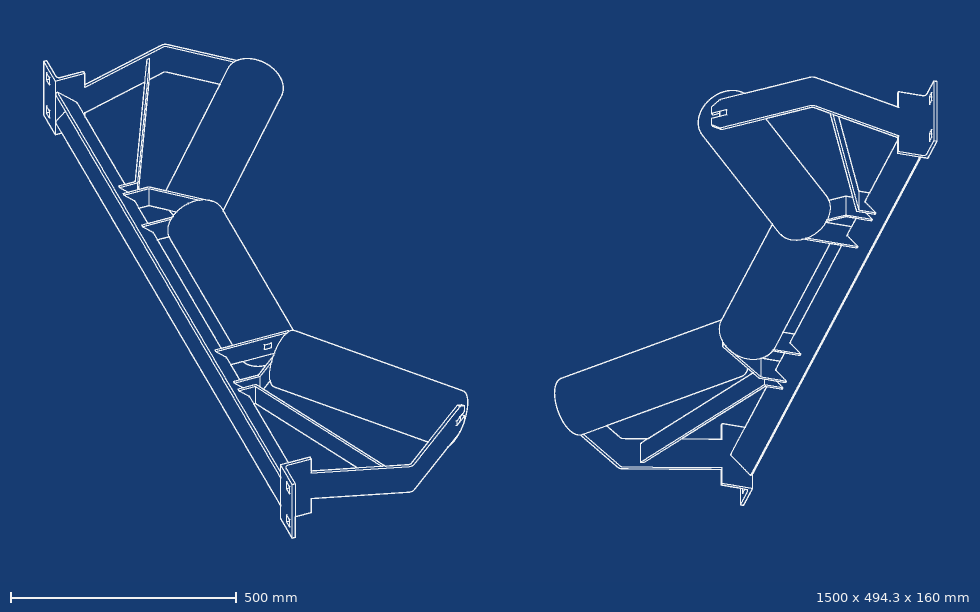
import cadquery as cq
import math


ROLLER_DIAMETER = 134.0
ROLLER_LENGTH = 430.0
ROLLER_EDGE_RADIUS = 5.0
TROUGH_ANGLE = 40.4
CENTER_ROLLER_Y = 150.0
SIDE_ROLLER_X = 436.0
SIDE_ROLLER_Y = 306.0

AXLE_DIAMETER = 22.0
TONGUE_HEIGHT = 16.0
TONGUE_WIDTH = 14.0
ROLLER_GAP = 3.0

BEAM_LEG = 66.0
BEAM_THICKNESS = 6.8
BEAM_INNER_RADIUS = 9.0
RIDGE_ROTATION = 135.0

OVERALL_LENGTH = 1500.0
FLANGE_WIDTH = 70.0
FLANGE_HEIGHT = 160.0
ARM_THICKNESS = 8.0
ARM_WIDTH = 76.0
ARM_BEND_RADIUS = 8.0
ARM_ELBOW_Y = 285.0
ARM_TIP_REACH = 28.0
TIP_CHAMFER_LENGTH = 21.0
TIP_CHAMFER_WIDTH = 15.0
BOLT_HOLE_X = 725.0
BOLT_HOLE_SPACING = 99.0
BOLT_HOLE_WIDTH = 18.0
BOLT_HOLE_HEIGHT = 21.0

STRIP_THICKNESS = 6.0
STRIP_WIDTH = 51.0
BRACE_FOOT_X = 357.0
BRACE_BEND_Y = 69.0
BRACE_TOP_Y = 245.0
BRACKET_FOOT_X = 336.0
BRACKET_TOP_Y = 201.0

BEAM_DEPTH = (BEAM_LEG + BEAM_THICKNESS) * math.sqrt(0.5)
LEG_FACE_X = OVERALL_LENGTH / 2 - FLANGE_WIDTH
FOOT_Y = BEAM_DEPTH - STRIP_WIDTH / 2
SUPPORT_DISTANCE = ROLLER_LENGTH / 2 + ROLLER_GAP
TILT = math.radians(TROUGH_ANGLE)


def side_roller_point(along, across):
    """Point at a distance along the right roller's axis and across it, towards the belt."""
    return (
        SIDE_ROLLER_X + along * math.cos(TILT) - across * math.sin(TILT),
        SIDE_ROLLER_Y + along * math.sin(TILT) + across * math.cos(TILT),
    )


def support_face_x(along, y):
    """X at height y on the plane square to the right roller's axis."""
    axle_x, axle_y = side_roller_point(along, 0)
    return axle_x - (y - axle_y) * math.tan(TILT)


def side_roller_plane(along):
    """Plane square to the right roller's axis, with its local X across the axis."""
    x, y = side_roller_point(along, 0)
    return cq.Plane(
        origin=(x, y, 0),
        xDir=(-math.sin(TILT), math.cos(TILT), 0),
        normal=(math.cos(TILT), math.sin(TILT), 0),
    )


def center_roller_plane(along):
    """Plane square to the middle roller's axis, with its local X pointing up."""
    return cq.Plane(origin=(along, CENTER_ROLLER_Y, 0), xDir=(0, 1, 0), normal=(1, 0, 0))


def offset_path(path, distance):
    """The path moved to its right by a distance, with mitred corners."""
    normals = []
    for (x0, y0), (x1, y1) in zip(path, path[1:]):
        length = math.hypot(x1 - x0, y1 - y0)
        normals.append(((y1 - y0) / length, (x0 - x1) / length))
    before = normals[:1] + normals
    after = normals + normals[-1:]
    moved = []
    for (x, y), (ax, ay), (bx, by) in zip(path, before, after):
        stretch = distance / (1 + ax * bx + ay * by)
        moved.append((x + (ax + bx) * stretch, y + (ay + by) * stretch))
    return moved


def bent_strip(path, thickness, width):
    """Strip with its left face along the path and its width centered on Z = 0."""
    outline = path + offset_path(path, thickness)[::-1]
    return cq.Workplane("XY").polyline(outline).close().extrude(width / 2, both=True)


def axle_tongue(plane, length):
    """Rectangular axle end, also used to cut its matching hole."""
    return cq.Workplane(plane).rect(TONGUE_HEIGHT, TONGUE_WIDTH).extrude(length)


def make_roller(plane_at, left_support, right_support):
    """Roller with axle ends reaching the far faces of its two supports."""
    drum = cq.Workplane(plane_at(-ROLLER_LENGTH / 2)).circle(ROLLER_DIAMETER / 2).extrude(ROLLER_LENGTH)
    drum = drum.edges("%CIRCLE").fillet(ROLLER_EDGE_RADIUS)
    axle = cq.Workplane(plane_at(-SUPPORT_DISTANCE)).circle(AXLE_DIAMETER / 2).extrude(2 * SUPPORT_DISTANCE)
    left_tongue = axle_tongue(plane_at(-SUPPORT_DISTANCE - left_support), left_support)
    right_tongue = axle_tongue(plane_at(SUPPORT_DISTANCE), right_support)
    return drum.union(axle).union(left_tongue).union(right_tongue)


def make_beam():
    """Angle-section beam between the end arms, its legs sloping down at 45 degrees."""
    beam = (
        cq.Workplane("YZ", origin=(-LEG_FACE_X, 0, 0))
        .transformed(offset=(BEAM_DEPTH, 0, 0), rotate=(0, 0, RIDGE_ROTATION))
        .polyline([
            (0, 0),
            (BEAM_LEG, 0),
            (BEAM_LEG, BEAM_THICKNESS),
            (BEAM_THICKNESS, BEAM_THICKNESS),
            (BEAM_THICKNESS, BEAM_LEG),
            (0, BEAM_LEG),
        ])
        .close()
        .extrude(2 * LEG_FACE_X)
    )
    inner_corner = (0, BEAM_DEPTH - BEAM_THICKNESS * math.sqrt(2), 0)
    return beam.edges(cq.selectors.NearestToPointSelector(inner_corner)).fillet(BEAM_INNER_RADIUS)


def ridge_clearance():
    """Wedge under the beam's outer faces, for notching the feet that straddle it."""
    return (
        cq.Workplane("YZ", origin=(-LEG_FACE_X, 0, 0))
        .polyline([(BEAM_DEPTH, 0), (0, BEAM_DEPTH), (0, -BEAM_DEPTH)])
        .close()
        .extrude(2 * LEG_FACE_X)
    )


def make_brace():
    """Bent strip from the beam's ridge up to the arm's inner face."""
    share = (BRACE_TOP_Y - FLANGE_WIDTH) / (ARM_ELBOW_Y - FLANGE_WIDTH)
    top_x = LEG_FACE_X + share * (support_face_x(SUPPORT_DISTANCE, ARM_ELBOW_Y) - LEG_FACE_X)
    path = [
        (BRACE_FOOT_X, FOOT_Y),
        (BRACE_FOOT_X, BRACE_BEND_Y),
        (top_x, BRACE_TOP_Y),
    ]
    return bent_strip(path, STRIP_THICKNESS, STRIP_WIDTH).cut(ridge_clearance())


def make_arm():
    """Right end arm: mounting flange, bent arm with an axle slot, and its brace."""
    elbow = (support_face_x(SUPPORT_DISTANCE, ARM_ELBOW_Y), ARM_ELBOW_Y)
    tip = side_roller_point(SUPPORT_DISTANCE, ARM_TIP_REACH)
    path = [(LEG_FACE_X, 0), (LEG_FACE_X, FLANGE_WIDTH), elbow, tip]
    arm = bent_strip(path, ARM_THICKNESS, ARM_WIDTH)

    outer_elbow = offset_path(path, ARM_THICKNESS)[2]
    for corner, radius in ((elbow, ARM_BEND_RADIUS), (outer_elbow, ARM_BEND_RADIUS + ARM_THICKNESS)):
        arm = arm.edges(cq.selectors.NearestToPointSelector((*corner, 0))).fillet(radius)

    bevel = (
        cq.Workplane(side_roller_plane(SUPPORT_DISTANCE))
        .polyline([
            (ARM_TIP_REACH - TIP_CHAMFER_LENGTH, ARM_WIDTH / 2),
            (ARM_TIP_REACH, ARM_WIDTH / 2),
            (ARM_TIP_REACH, ARM_WIDTH / 2 - TIP_CHAMFER_WIDTH),
        ])
        .close()
        .extrude(ARM_THICKNESS)
    )
    arm = arm.cut(bevel).cut(bevel.mirror("XY"))

    slot_length = ARM_TIP_REACH + TONGUE_HEIGHT / 2
    slot = (
        cq.Workplane(side_roller_plane(SUPPORT_DISTANCE))
        .center(ARM_TIP_REACH - slot_length / 2, 0)
        .rect(slot_length, TONGUE_WIDTH)
        .extrude(ARM_THICKNESS)
    )
    arm = arm.cut(slot)

    angle = (
        cq.Workplane("XY")
        .polyline([
            (LEG_FACE_X, 0),
            (OVERALL_LENGTH / 2, 0),
            (OVERALL_LENGTH / 2, ARM_THICKNESS),
            (LEG_FACE_X + ARM_THICKNESS, ARM_THICKNESS),
            (LEG_FACE_X + ARM_THICKNESS, FLANGE_WIDTH),
            (LEG_FACE_X, FLANGE_WIDTH),
        ])
        .close()
        .extrude(FLANGE_HEIGHT / 2, both=True)
    )
    bend = (LEG_FACE_X + ARM_THICKNESS, ARM_THICKNESS, 0)
    angle = angle.edges(cq.selectors.NearestToPointSelector(bend)).fillet(ARM_BEND_RADIUS)
    bolt_holes = (
        cq.Workplane("XZ")
        .pushPoints([(BOLT_HOLE_X, -BOLT_HOLE_SPACING / 2), (BOLT_HOLE_X, BOLT_HOLE_SPACING / 2)])
        .rect(BOLT_HOLE_WIDTH, BOLT_HOLE_HEIGHT)
        .extrude(-ARM_THICKNESS)
    )
    return arm.union(angle.cut(bolt_holes)).union(make_brace())


def make_bracket():
    """Bent strip carrying the middle roller's end and the right roller's lower end."""
    axle_x, axle_y = side_roller_point(-SUPPORT_DISTANCE, 0)
    bend_y = axle_y - (BRACKET_FOOT_X - axle_x) / math.tan(TILT)
    path = [
        (SUPPORT_DISTANCE, FOOT_Y),
        (SUPPORT_DISTANCE, BRACKET_TOP_Y),
        (support_face_x(-SUPPORT_DISTANCE, BRACKET_TOP_Y), BRACKET_TOP_Y),
        (BRACKET_FOOT_X, bend_y),
        (BRACKET_FOOT_X, FOOT_Y),
    ]
    bracket = bent_strip(path, STRIP_THICKNESS, STRIP_WIDTH).cut(ridge_clearance())
    bracket = bracket.cut(axle_tongue(center_roller_plane(SUPPORT_DISTANCE), STRIP_THICKNESS))
    far_face = -SUPPORT_DISTANCE - STRIP_THICKNESS
    return bracket.cut(axle_tongue(side_roller_plane(far_face), STRIP_THICKNESS))


beam = make_beam()
center_roller = make_roller(center_roller_plane, STRIP_THICKNESS, STRIP_THICKNESS)
bodies = [beam.val(), center_roller.val()]

for part in (
    make_arm(),
    make_bracket(),
    make_roller(side_roller_plane, STRIP_THICKNESS, ARM_THICKNESS),
):
    for copy in (part, part.mirror("YZ")):
        bodies.append(copy.val())

result = cq.Compound.makeCompound(bodies)